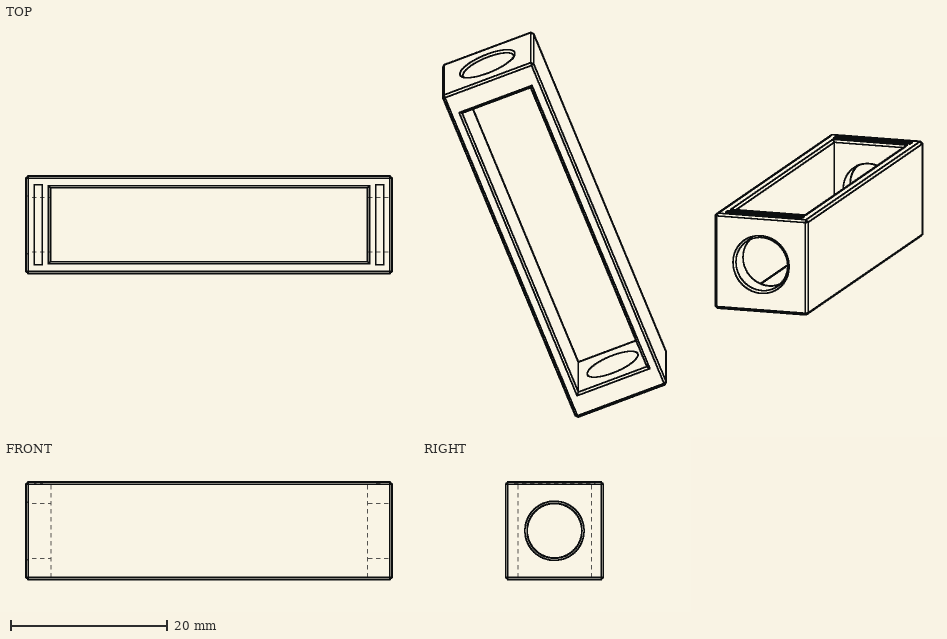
import cadquery as cq

length = 46.9
side = 12.5
edge_chamfer = 0.3

end_wall = 3.15
side_wall = 1.55
window_length = length - 2 * end_wall
window_width = side - 2 * side_wall

bore_diameter = 7.0

recess_length = 10.25
recess_width = 1.0
recess_depth = 0.2
recess_offset = (length - end_wall) / 2


def chamfered_block():
    return cq.Workplane("XY").box(length, side, side).edges().chamfer(edge_chamfer)


def window_cutter():
    """Window that flares out by the edge chamfer at the top and bottom faces."""
    cutter = cq.Workplane("XY").box(window_length, window_width, side)
    for direction in (1, -1):
        mouth = (
            cq.Workplane("XY", origin=(0, 0, direction * side / 2))
            .rect(window_length + 2 * edge_chamfer, window_width + 2 * edge_chamfer)
            .workplane(offset=-direction * edge_chamfer)
            .rect(window_length, window_width)
            .loft(ruled=True)
        )
        cutter = cutter.union(mouth)
    return cutter


def bore_cutter():
    """Bore that flares out by the edge chamfer at both end faces."""
    bore_radius = bore_diameter / 2
    mouth_radius = bore_radius + edge_chamfer
    half_length = length / 2
    straight_end = half_length - edge_chamfer
    return (
        cq.Workplane("XY")
        .moveTo(-half_length, 0)
        .lineTo(-half_length, mouth_radius)
        .lineTo(-straight_end, bore_radius)
        .lineTo(straight_end, bore_radius)
        .lineTo(half_length, mouth_radius)
        .lineTo(half_length, 0)
        .close()
        .revolve(360, (0, 0, 0), (1, 0, 0))
    )


def recess_cutters():
    return (
        cq.Workplane("XY", origin=(0, 0, side / 2))
        .pushPoints([(-recess_offset, 0), (recess_offset, 0)])
        .rect(recess_width, recess_length)
        .extrude(-recess_depth)
    )


result = chamfered_block().cut(window_cutter()).cut(bore_cutter()).cut(recess_cutters())